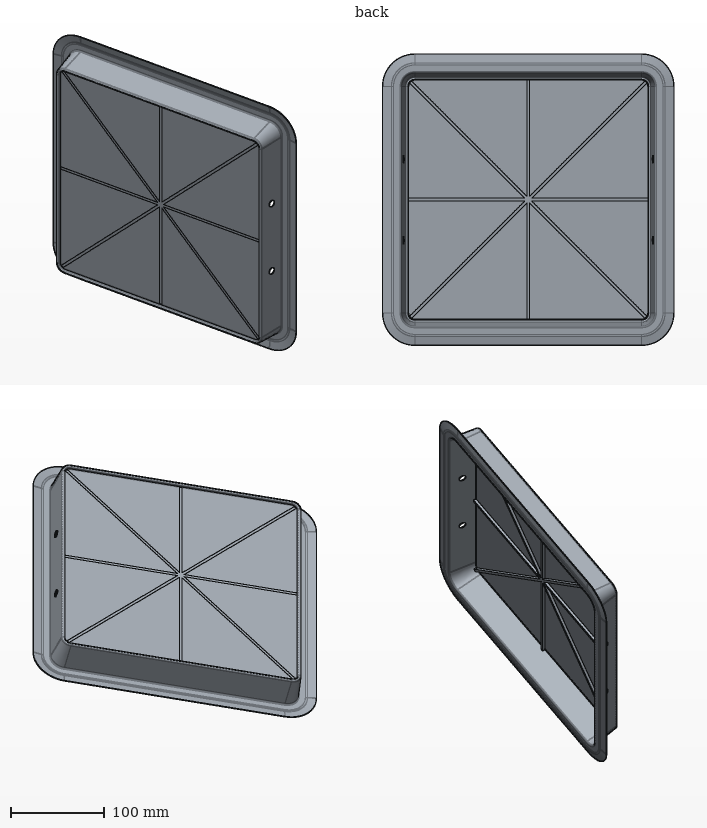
import cadquery as cq
import math

outer_size = 311.0
depth = 33.5
sheet = 1.0

flange_reach = 34.5
core_half = outer_size / 2 - flange_reach

lip_angle = math.radians(10)
lip_bend_radius = 12.5
lip_bend_start = 22.7

wall_angle = math.radians(8.6)
wall_bend_radius = 0.5

bead_radius = 2 * sheet
bead_inner_reach = 6.5
floor_recess = 3 * sheet
floor_front = -depth + floor_recess
floor_back = floor_front + sheet

hole_diameter = 7.8
hole_spacing = 86.5
hole_y = -16.2

rib_width = 3.0
rib_height = 3.0


def polar(center, radius, angle):
    return (center[0] + radius * math.cos(angle), center[1] + radius * math.sin(angle))


def draw_pan_section():
    """Bent sheet from floor edge to lip: first value is the reach outward from the core square, second is Y."""
    upright = math.pi / 2

    bead_center = (bead_inner_reach + bead_radius, -depth + bead_radius)
    bead_bore = bead_radius - sheet
    bead_bottom_angle = -upright
    wall_foot_outside = polar(bead_center, bead_radius, -wall_angle)
    wall_foot_inside = polar(bead_center, bead_bore, -wall_angle)

    floor_corner = (bead_inner_reach, floor_front)

    wall_bend_span = upright - wall_angle
    wall_rise = -sheet - wall_foot_outside[1]
    wall_top_reach = wall_foot_outside[0] + wall_rise * math.tan(wall_angle)
    wall_bend_reach = wall_top_reach + wall_bend_radius * math.tan(wall_bend_span / 2)
    wall_bend_center = (wall_bend_reach, -sheet - wall_bend_radius)
    wall_bend_outer = wall_bend_radius + sheet

    def on_wall_bend(radius, turn):
        return polar(wall_bend_center, radius, upright + turn)

    lip_bend_center = (lip_bend_start, -sheet - lip_bend_radius)
    lip_bend_outer = lip_bend_radius + sheet

    def on_lip_bend(radius, turn):
        return polar(lip_bend_center, radius, upright - turn)

    lip_back = on_lip_bend(lip_bend_outer, lip_angle)
    lip_front = on_lip_bend(lip_bend_radius, lip_angle)
    lip_length = (flange_reach - lip_back[0]) / math.cos(lip_angle)

    return (
        cq.Workplane("XY")
        .moveTo(0, floor_front)
        .lineTo(*floor_corner)
        .lineTo(bead_inner_reach, bead_center[1])
        .threePointArc(polar(bead_center, bead_radius, bead_bottom_angle), wall_foot_outside)
        .lineTo(*on_wall_bend(wall_bend_radius, wall_bend_span))
        .threePointArc(on_wall_bend(wall_bend_radius, wall_bend_span / 2), on_wall_bend(wall_bend_radius, 0))
        .lineTo(lip_bend_start, -sheet)
        .threePointArc(on_lip_bend(lip_bend_radius, lip_angle / 2), lip_front)
        .lineTo(*polar(lip_front, lip_length, -lip_angle))
        .lineTo(*polar(lip_back, lip_length, -lip_angle))
        .lineTo(*lip_back)
        .threePointArc(on_lip_bend(lip_bend_outer, lip_angle / 2), (lip_bend_start, 0))
        .lineTo(wall_bend_reach, 0)
        .threePointArc(on_wall_bend(wall_bend_outer, wall_bend_span / 2), on_wall_bend(wall_bend_outer, wall_bend_span))
        .lineTo(*wall_foot_inside)
        .threePointArc(
            polar(bead_center, bead_bore, bead_bottom_angle),
            (bead_center[0] - bead_bore, bead_center[1]),
        )
        .lineTo(bead_inner_reach + sheet, floor_front)
        .threePointArc(polar(floor_corner, sheet, upright / 2), (bead_inner_reach, floor_back))
        .lineTo(0, floor_back)
        .close()
    )


def run_around_core(draw_section):
    """Carry a section along the four sides of the core square and turn it about the corners."""
    side = draw_section().extrude(core_half, both=True).translate((core_half, 0, 0))
    corner = draw_section().revolve(90, (0, 0, 0), (0, 1, 0)).translate((core_half, 0, -core_half))
    quarter = side.union(corner)
    ring = quarter
    for turn in range(1, 4):
        ring = ring.union(quarter.rotate((0, 0, 0), (0, 1, 0), 90 * turn))
    return ring


def make_pan():
    floor_middle = (
        cq.Workplane("XY")
        .box(2 * core_half, sheet, 2 * core_half)
        .translate((0, (floor_front + floor_back) / 2, 0))
    )
    holes = (
        cq.Workplane("YZ")
        .pushPoints([(hole_y, side * hole_spacing / 2) for side in (-1, 1)])
        .circle(hole_diameter / 2)
        .extrude(outer_size, both=True)
    )
    return run_around_core(draw_pan_section).union(floor_middle).cut(holes)


def make_rib(length, angle):
    """A flat bar through the middle of the floor, turned about Y."""
    return (
        cq.Workplane("XY")
        .box(length, rib_height, rib_width)
        .translate((0, floor_back + rib_height / 2, 0))
        .rotate((0, 0, 0), (0, 1, 0), angle)
    )


def make_stiffener():
    """Four crossing ribs: two across the middle and two from corner to corner of the floor."""
    straight_length = 2 * (core_half + bead_inner_reach)
    diagonal_length = 2 * (core_half * math.sqrt(2) + bead_inner_reach)
    stiffener = make_rib(straight_length, 0)
    for length, angle in ((straight_length, 90), (diagonal_length, 45), (diagonal_length, 135)):
        stiffener = stiffener.union(make_rib(length, angle))
    return stiffener


pan = make_pan()
stiffener = make_stiffener()
result = cq.Compound.makeCompound([pan.val(), stiffener.val()])